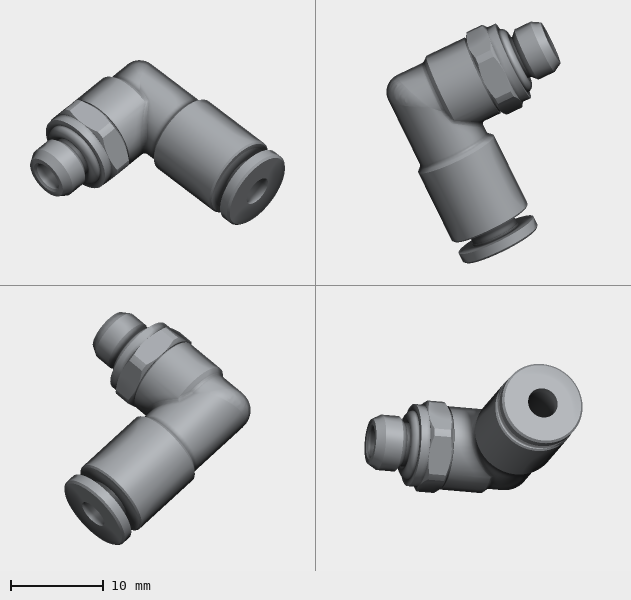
import cadquery as cq
import math

pipe_radius = 4.0
body_radius = 4.555
bore_radius = 1.65

blend_bulge = 0.035

tube_flare_start = 5.8
tube_cone_start = 6.1
tube_cone_start_radius = 4.11
tube_body_start = 6.5
tube_body_end = 15.0
tube_end_chamfer = 0.18
tube_nose_depth = 0.2
tube_nose_radius = 3.85
collet_neck_radius = 2.62
collet_step_start = 16.15
collet_step_radius = 2.71
collet_flange_start = 16.38
collet_end = 17.63
collet_flange_radius = 4.5
collet_chamfer = 0.23

stud_cone_start = 1.18
stud_body_start = 1.76
crotch_fillet = 0.45
stud_body_end = 6.33
stud_body_radius = 4.52
swivel_gap_radius = 4.35
hex_start = 6.5
hex_end = 9.0
washer_end = 10.0
washer_radius = 4.45
seal_end = 10.75
seal_radius = 3.73
relief_radius = 2.37
relief_end = 11.0
thread_start = 11.62
thread_end = 13.54
thread_radius = 3.0
stud_end = 14.49
tip_radius = 2.46
mouth_chamfer = 0.23

hex_across_flats = 9.0
hex_corner_radius = 4.97
hex_chamfer_height = 0.32

corner_ratio = 0.5
corner_sections = 9
least_face_area = 0.0005108

blend_zone_margin = 0.02


def make_tube_leg():
    """Pipe, tube body and release collet turned about X."""
    end_radius = body_radius - tube_end_chamfer
    flare_mid = (
        (tube_flare_start + tube_cone_start) / 2,
        (pipe_radius + tube_cone_start_radius) / 2 - blend_bulge,
    )
    return (
        cq.Workplane("XY")
        .lineTo(0, pipe_radius)
        .lineTo(tube_flare_start, pipe_radius)
        .threePointArc(flare_mid, (tube_cone_start, tube_cone_start_radius))
        .lineTo(tube_body_start, body_radius)
        .lineTo(tube_body_end - tube_end_chamfer, body_radius)
        .lineTo(tube_body_end, end_radius)
        .lineTo(tube_body_end, tube_nose_radius)
        .lineTo(tube_body_end + tube_nose_depth, collet_neck_radius)
        .lineTo(collet_step_start, collet_neck_radius)
        .lineTo(collet_step_start, collet_step_radius)
        .lineTo(collet_flange_start, collet_step_radius)
        .lineTo(collet_flange_start, collet_flange_radius)
        .lineTo(collet_end - collet_chamfer, collet_flange_radius)
        .lineTo(collet_end, collet_flange_radius - collet_chamfer)
        .lineTo(collet_end, 0)
        .close()
        .revolve(360, (0, 0, 0), (1, 0, 0))
    )


def make_stud_leg():
    """Pipe, swivel body, washer, O-ring seal and threaded stud turned about Y."""
    seal_round = seal_end - washer_end
    seal_centre_radius = seal_radius - seal_round
    seal_foot_end = washer_end + math.sqrt(seal_round**2 - (seal_centre_radius - relief_radius) ** 2)
    return (
        cq.Workplane("XY")
        .lineTo(pipe_radius, 0)
        .lineTo(pipe_radius, -stud_cone_start)
        .lineTo(stud_body_radius, -stud_body_start)
        .lineTo(stud_body_radius, -stud_body_end)
        .lineTo(swivel_gap_radius, -stud_body_end)
        .lineTo(swivel_gap_radius, -hex_start)
        .lineTo(washer_radius, -hex_start)
        .lineTo(washer_radius, -washer_end)
        .lineTo(seal_radius, -washer_end)
        .threePointArc((seal_centre_radius, -seal_end), (relief_radius, -seal_foot_end))
        .lineTo(relief_radius, -relief_end)
        .lineTo(thread_radius, -thread_start)
        .lineTo(thread_radius, -thread_end)
        .lineTo(tip_radius, -stud_end)
        .lineTo(0, -stud_end)
        .close()
        .revolve(360, (0, 0, 0), (0, 1, 0))
    )


def make_hexagon():
    """Hexagon with flats facing +Z and -Z, its corners turned down and chamfered at both ends."""
    hex_length = hex_end - hex_start
    prism = (
        cq.Workplane("XZ", origin=(0, -hex_start, 0))
        .polygon(6, hex_across_flats / math.cos(math.pi / 6))
        .extrude(hex_length)
    )
    flat_radius = hex_across_flats / 2
    envelope = (
        cq.Workplane("XY")
        .moveTo(0, -hex_start)
        .lineTo(flat_radius, -hex_start)
        .lineTo(hex_corner_radius, -hex_start - hex_chamfer_height)
        .lineTo(hex_corner_radius, -hex_end + hex_chamfer_height)
        .lineTo(flat_radius, -hex_end)
        .lineTo(0, -hex_end)
        .close()
        .revolve(360, (0, 0, 0), (0, 1, 0))
    )
    return prism.intersect(envelope)


def make_mitre_quadrant():
    """Outer quadrant shared by both pipes, where they meet in a sharp mitre."""
    along_x = cq.Workplane("YZ").circle(pipe_radius).extrude(-pipe_radius)
    along_y = cq.Workplane("XZ").circle(pipe_radius).extrude(-pipe_radius)
    return along_x.intersect(along_y)


def corner_reach(angle):
    """Distance from the Z axis to the rounded corner, in direction angle from -X towards +Y."""
    centre = 1 - corner_ratio
    if math.tan(angle) <= centre:
        return pipe_radius / math.cos(angle)
    if math.tan(angle) >= 1 / centre:
        return pipe_radius / math.sin(angle)
    along = centre * (math.cos(angle) + math.sin(angle))
    return pipe_radius * (along + math.sqrt(along**2 - 2 * centre**2 + corner_ratio**2))


def half_ellipse(angle):
    """Half-ellipse wire standing on the Z axis in direction angle."""
    plane = cq.Plane((0, 0, 0), xDir=(-math.cos(angle), math.sin(angle), 0),
                     normal=(math.sin(angle), math.cos(angle), 0))
    reach = corner_reach(angle)
    return (
        cq.Workplane(plane)
        .moveTo(0, -pipe_radius)
        .ellipseArc(reach, pipe_radius, -90, 90, startAtCurrent=True)
        .close()
        .val()
    )


def make_rounded_corner():
    """Mitre quadrant with its middle wedge replaced by a loft through half ellipses."""
    first = math.atan(1 - corner_ratio)
    last = math.pi / 2 - first
    step = (last - first) / (corner_sections - 1)
    wires = [half_ellipse(first + i * step) for i in range(corner_sections)]
    loft_faces = cq.Solid.makeLoft(wires).Faces()
    real_faces = [face for face in loft_faces if face.Area() > least_face_area]
    rounded_wedge = cq.Workplane(cq.Solid.makeSolid(cq.Shell.makeShell(real_faces)))
    far = 2 * pipe_radius
    near = far * (1 - corner_ratio)
    middle_wedge = (
        cq.Workplane("XY")
        .polyline([(0, 0), (-far, near), (-far, far), (-near, far)])
        .close()
        .extrude(pipe_radius, both=True)
    )
    return make_mitre_quadrant().cut(middle_wedge).union(rounded_wedge)



def make_passage():
    """Bores along both axes, crossing at the origin, with a chamfered mouth at the stud tip."""
    tube_bore = (
        cq.Workplane("YZ", origin=(-bore_radius, 0, 0))
        .circle(bore_radius)
        .extrude(bore_radius + collet_end)
    )
    stud_bore = (
        cq.Workplane("XY")
        .lineTo(bore_radius, 0)
        .lineTo(bore_radius, -stud_end + mouth_chamfer)
        .lineTo(bore_radius + mouth_chamfer, -stud_end)
        .lineTo(0, -stud_end)
        .close()
        .revolve(360, (0, 0, 0), (0, 1, 0))
    )
    return tube_bore.union(stud_bore)


def make_elbow():
    """Both legs with the rounded corner, filleted where the pipes run into the stud body."""
    elbow = make_tube_leg().union(make_stud_leg()).union(make_rounded_corner())
    blend_zone = cq.selectors.BoxSelector(
        (-pipe_radius, -pipe_radius, -pipe_radius),
        (stud_body_radius, -stud_cone_start + blend_zone_margin, pipe_radius),
    )
    cone_rim = cq.selectors.BoxSelector(
        (-pipe_radius, -stud_body_start - blend_zone_margin, -blend_zone_margin),
        (0, -stud_body_start + blend_zone_margin, blend_zone_margin),
    )
    return elbow.edges(blend_zone - cone_rim).fillet(crotch_fillet)


result = make_elbow().union(make_hexagon()).cut(make_passage())